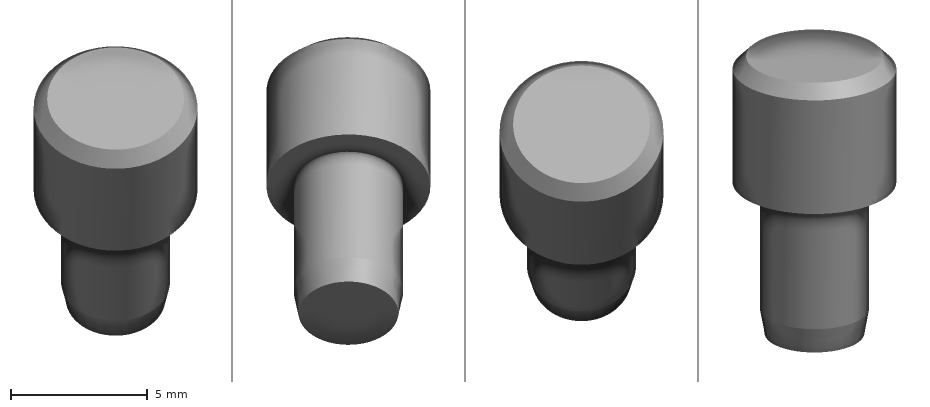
import cadquery as cq
import math

total_length = 11.0
head_diameter = 6.0
head_height = 5.0
head_chamfer = 0.5
shank_diameter = 4.0
tip_length = 1.0
tip_angle = 10.0

head_radius = head_diameter / 2
shank_radius = shank_diameter / 2
shank_length = total_length - head_height
tip_radius = shank_radius - tip_length * math.tan(math.radians(tip_angle))

half_section = (
    cq.Workplane("XZ")
    .moveTo(0, 0)
    .lineTo(tip_radius, 0)
    .lineTo(shank_radius, tip_length)
    .lineTo(shank_radius, shank_length)
    .lineTo(head_radius, shank_length)
    .lineTo(head_radius, total_length - head_chamfer)
    .lineTo(head_radius - head_chamfer, total_length)
    .lineTo(0, total_length)
    .close()
)

result = half_section.revolve(360, (0, 0, 0), (0, 1, 0))